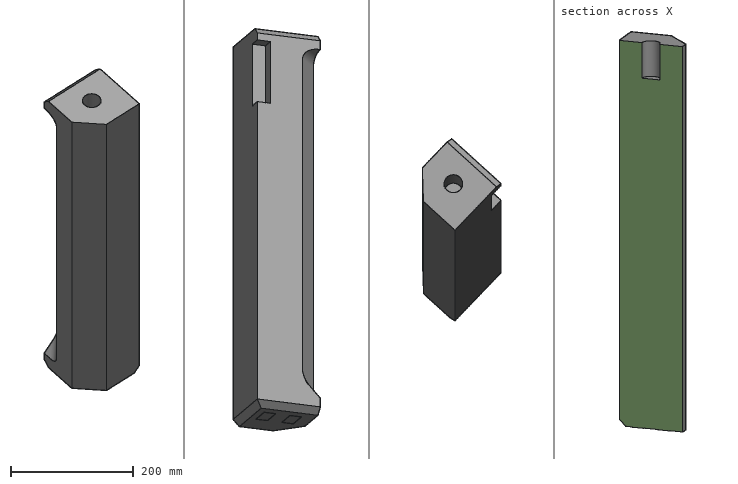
import cadquery as cq

side = 110.0
overall_height = 652.0
pad_height = 0.5
height = overall_height - pad_height
corner_bevel = 40.0
end_bevel = 11.0

pocket_leg = 31.3
pocket_end_margin = 26.0
pocket_fillet = 20.0

notch_side = 23.0
notch_length = 106.0
notch_top_margin = 23.0

hole_diameter = 30.0
hole_depth = 60.0

pad_length = 37.0
pad_width = 20.0
pad_spacing = 45.0
pad_center_x = 46.0


def make_block():
    """Square bar with one vertical bevel and three bevelled end edges."""
    block = cq.Workplane("XY").box(side, side, height, centered=False)
    block = block.edges("|Z and >X and <Y").chamfer(corner_bevel)
    block = block.edges("|Y and <X").chamfer(end_bevel)
    return block.edges("|X and >Y and <Z").chamfer(end_bevel)


def make_pocket():
    """Cutter with a 45 degree floor, a flat top end and a bottom ramp rising 45 degrees along +Y."""
    bottom = pocket_end_margin
    top = height - pocket_end_margin
    overlap = pocket_leg
    prism_reach = pocket_leg + overlap
    prism = (
        cq.Workplane("XY")
        .workplane(offset=bottom - overlap)
        .moveTo(-overlap, -overlap)
        .lineTo(prism_reach, -overlap)
        .lineTo(-overlap, prism_reach)
        .close()
        .extrude(top - bottom + overlap)
    )
    ramp_start = -2 * overlap
    ramp_end = prism_reach + overlap
    below_ramp = (
        cq.Workplane("YZ")
        .workplane(offset=ramp_start)
        .moveTo(ramp_start, bottom + ramp_start)
        .lineTo(ramp_end, bottom + ramp_start)
        .lineTo(ramp_end, bottom + ramp_end)
        .close()
        .extrude(ramp_end - ramp_start)
    )
    floor_normal = cq.Vector(1, 1, 0)
    cutter = prism.cut(below_ramp)
    floor = cutter.faces(cq.selectors.DirectionMinMaxSelector(floor_normal, True))
    return floor.edges("not |Z").fillet(pocket_fillet)


def make_notch():
    """Square prism that removes part of the -X, +Y edge."""
    return (
        cq.Workplane("XY")
        .box(notch_side, notch_side, notch_length, centered=False)
        .translate((0, side - notch_side, height - notch_top_margin - notch_length))
    )


def make_hole():
    """Vertical blind hole opening at the middle of the top face."""
    return (
        cq.Workplane("XY")
        .workplane(offset=height - hole_depth)
        .center(side / 2, side / 2)
        .circle(hole_diameter / 2)
        .extrude(hole_depth)
    )


def make_pads():
    """Two shallow rectangular pads standing below the bottom face."""
    return (
        cq.Workplane("XY")
        .center(pad_center_x, side / 2)
        .rarray(1, pad_spacing, 1, 2)
        .rect(pad_length, pad_width)
        .extrude(-pad_height)
    )


result = make_block()
for cutter in (make_pocket(), make_notch(), make_hole()):
    result = result.cut(cutter)
result = result.union(make_pads())